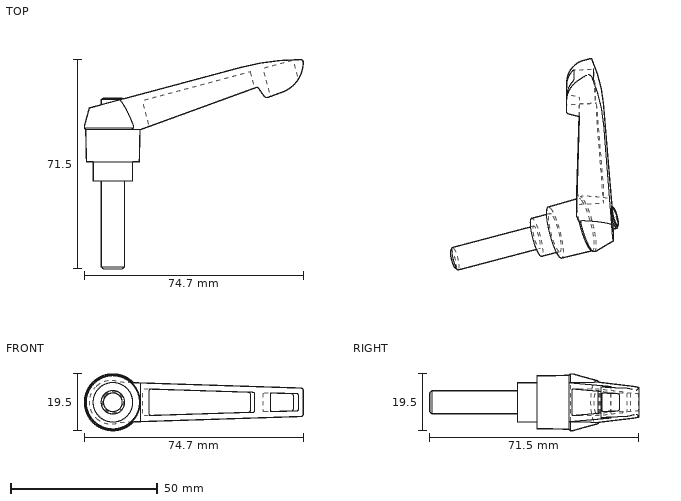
import cadquery as cq
import math


STUD_DIAMETER = 8.0
STUD_LENGTH = 30.0
STUD_CHAMFER = 0.8
SHOULDER_Y = 28.2
SHOULDER_CHAMFER = 0.4
PIP_DIAMETER = 6.3
PIP_HEIGHT = 0.22

SLEEVE_DIAMETER = 13.5
SLEEVE_LENGTH = 6.6
HUB_BASE_RADIUS = 9.07
SKIRT_TOP = 17.6
SKIRT_TOP_RADIUS = 9.3
RIM_RADIUS = 9.745
RIM_CHAMFER = 0.56
RIM_BAND = 0.75
CONE_ANGLE = 15.5

TOP_ANGLE = 15.0
TOP_AT_AXIS = 27.17
ARM_TOP = 41.55
TOP_BEND_RADIUS = 79.0
UNDERSIDE_ANGLE = 20.0
UNDERSIDE_START = 9.5
ARM_TIP = 65.005
NOSE_ROUND = 11.0
TIP_TOP_ROUND = 1.0
STEP_X = 49.4
STEP_ANGLE = 55.0
STEP_DROP = 3.85
STEP_INNER_ROUND = 0.7
STEP_OUTER_ROUND = 1.2

ARM_HALF_AT_AXIS = 6.95
ARM_HALF_AT_TIP = 4.87
TIP_SIDE_ROUND = 0.9

POCKET_WALL = 2.0
POCKET_FLOOR = 2.3
POCKET_ROUND = 0.6
LONG_POCKET = (12.4, 48.4)
NOSE_POCKET = (53.8, 63.3)

TOP_SLOPE = math.tan(math.radians(TOP_ANGLE))
UNDERSIDE_SLOPE = math.tan(math.radians(UNDERSIDE_ANGLE))
RIM_TOP = SKIRT_TOP + RIM_CHAMFER + RIM_BAND


def top_y(x):
    """Height of the sloping top face."""
    return TOP_AT_AXIS + x * TOP_SLOPE


def underside_y(x):
    """Height of the sloping underside before the finger step."""
    return SKIRT_TOP + (x - UNDERSIDE_START) * UNDERSIDE_SLOPE


def arm_half_width(x):
    return ARM_HALF_AT_AXIS + (ARM_HALF_AT_TIP - ARM_HALF_AT_AXIS) * x / ARM_TIP


STEP_FOOT_X = STEP_X + STEP_DROP / math.tan(math.radians(STEP_ANGLE))
STEP_FOOT_Y = underside_y(STEP_X) - STEP_DROP


def nose_y(x):
    """Height of the underside beyond the finger step."""
    return STEP_FOOT_Y + (x - STEP_FOOT_X) * UNDERSIDE_SLOPE


def make_stud():
    return (
        cq.Workplane("XZ", origin=(0, SHOULDER_Y, 0))
        .circle(STUD_DIAMETER / 2)
        .extrude(SHOULDER_Y + STUD_LENGTH)
        .faces("<Y")
        .chamfer(STUD_CHAMFER)
        .faces(">Y")
        .chamfer(SHOULDER_CHAMFER)
        .faces(">Y")
        .workplane()
        .circle(PIP_DIAMETER / 2)
        .extrude(PIP_HEIGHT)
    )


def make_hub():
    cone_height = top_y(RIM_RADIUS) - RIM_TOP
    cone_top_radius = RIM_RADIUS - cone_height * math.tan(math.radians(CONE_ANGLE))
    hub = (
        cq.Workplane("XY")
        .lineTo(SLEEVE_DIAMETER / 2, 0)
        .lineTo(SLEEVE_DIAMETER / 2, SLEEVE_LENGTH)
        .lineTo(HUB_BASE_RADIUS, SLEEVE_LENGTH)
        .lineTo(SKIRT_TOP_RADIUS, SKIRT_TOP)
        .lineTo(RIM_RADIUS, SKIRT_TOP + RIM_CHAMFER)
        .lineTo(RIM_RADIUS, RIM_TOP)
        .lineTo(cone_top_radius, RIM_TOP + cone_height)
        .lineTo(0, RIM_TOP + cone_height)
        .close()
        .revolve(360, (0, 0, 0), (0, 1, 0))
    )
    side = 2 * RIM_RADIUS
    above_top = (
        cq.Workplane("XY")
        .polyline([(-side, top_y(-side)), (side, top_y(side)), (side, 2 * ARM_TOP), (-side, 2 * ARM_TOP)])
        .close()
        .extrude(side, both=True)
    )
    return hub.cut(above_top)


def round_edge(body, x, y, radius):
    """Round the edge parallel to Z that passes through (x, y)."""
    return body.edges(cq.selectors.NearestToPointSelector((x, y, 0))).fillet(radius)


def make_arm():
    bend_x = (ARM_TOP - TOP_AT_AXIS) / TOP_SLOPE
    side = (
        cq.Workplane("XY")
        .polyline([
            (0, SKIRT_TOP),
            (UNDERSIDE_START, SKIRT_TOP),
            (STEP_X, underside_y(STEP_X)),
            (STEP_FOOT_X, STEP_FOOT_Y),
            (ARM_TIP, nose_y(ARM_TIP)),
            (ARM_TIP, ARM_TOP),
            (bend_x, ARM_TOP),
            (0, TOP_AT_AXIS),
        ])
        .close()
        .extrude(ARM_HALF_AT_AXIS, both=True)
    )
    side = round_edge(side, STEP_X, underside_y(STEP_X), STEP_INNER_ROUND)
    side = round_edge(side, STEP_FOOT_X, STEP_FOOT_Y, STEP_OUTER_ROUND)
    side = round_edge(side, bend_x, ARM_TOP, TOP_BEND_RADIUS)
    side = round_edge(side, ARM_TIP, nose_y(ARM_TIP), NOSE_ROUND)
    side = round_edge(side, ARM_TIP, ARM_TOP, TIP_TOP_ROUND)
    plan = (
        cq.Workplane("XZ")
        .polyline([
            (0, -ARM_HALF_AT_AXIS),
            (ARM_TIP, -ARM_HALF_AT_TIP),
            (ARM_TIP, ARM_HALF_AT_TIP),
            (0, ARM_HALF_AT_AXIS),
        ])
        .close()
        .extrude(-ARM_TOP)
        .edges("|Y and >X")
        .fillet(TIP_SIDE_ROUND)
    )
    return side.intersect(plan)


def make_pocket(start, start_y, end, end_y):
    """Tapered pocket whose mouth runs from (start, start_y) to (end, end_y)."""
    cosine = math.cos(math.radians(TOP_ANGLE))
    sine = math.sin(math.radians(TOP_ANGLE))
    floor = cq.Plane(
        origin=(0, TOP_AT_AXIS - POCKET_FLOOR / cosine, 0),
        xDir=(cosine, sine, 0),
        normal=(sine, -cosine, 0),
    )

    def corner(x, y, sign):
        half = arm_half_width(x) - POCKET_WALL
        return floor.toLocalCoords(cq.Vector(x, y, sign * half)).toTuple()[:2]

    return (
        cq.Workplane(floor)
        .polyline([
            corner(start, start_y, -1),
            corner(end, end_y, -1),
            corner(end, end_y, 1),
            corner(start, start_y, 1),
        ])
        .close()
        .extrude(ARM_TOP)
        .edges(cq.selectors.ParallelDirSelector(floor.zDir))
        .fillet(POCKET_ROUND)
    )


def nose_round_y(x):
    """Height of the rounded nose near the tip."""
    center_x = ARM_TIP - NOSE_ROUND
    tangent_length = NOSE_ROUND / math.tan(math.radians(90 + UNDERSIDE_ANGLE) / 2)
    center_y = nose_y(ARM_TIP) + tangent_length
    return center_y - math.sqrt(NOSE_ROUND ** 2 - (x - center_x) ** 2)


long_start, long_end = LONG_POCKET
nose_start, nose_end = NOSE_POCKET
arm = make_arm()
arm = arm.cut(make_pocket(long_start, underside_y(long_start), long_end, underside_y(long_end)))
arm = arm.cut(make_pocket(nose_start, nose_y(nose_start), nose_end, nose_round_y(nose_end)))

result = arm.union(make_hub()).union(make_stud())